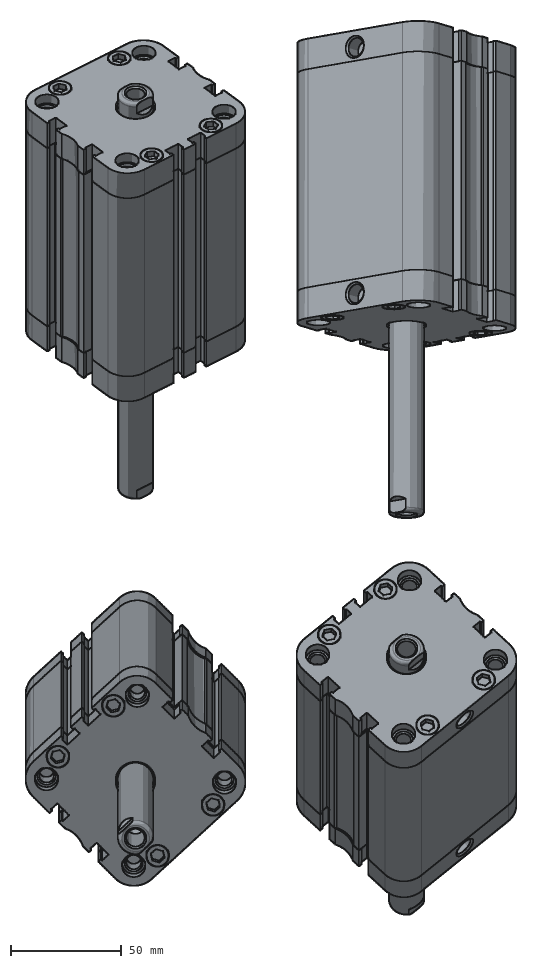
import cadquery as cq
import math

housing_side = 77.0
corner_radius = 11.7
housing_length = 129.4
cap_height = 14.2
bore_diameter = 63.0

slot_neck_width = 6.0
slot_inner_width = 7.6
slot_lip = 1.5
barrel_slot_depth = 5.0
cap_slot_depth = 5.6
side_slot_offset = 12.8
end_slot_offset = 6.5

groove_width = 11.5
cap_groove_depth = 1.4
barrel_groove_depth = 2.0
barrel_groove_bevel = 0.7

mount_offset = 28.4
mount_counterbore_diameter = 10.5
mount_counterbore_depth = 5.0
mount_thread_diameter = 8.3
mount_hole_diameter = 6.8

screw_x = 32.5
screw_y = 17.3
screw_recess_diameter = 10.4
screw_head_diameter = 10.0
screw_recess_depth = 2.0
socket_across_flats = 5.6
socket_depth = 3.0

port_diameter = 8.5
port_mouth_diameter = 10.4
port_depth = 8.0
port_drop = 7.6

rod_diameter = 16.0
rod_length = 225.0
rod_top_overhang = 7.9
rod_flat_gap = 13.0
rod_flat_length = 5.6
rod_thread_diameter = 8.3
rod_thread_mouth_diameter = 10.0
rod_thread_depth = 20.2
drill_point_angle = 118.0
rod_end_fillet = 1.8

rod_recess_diameter = 16.6
rod_recess_mouth_diameter = 18.0
rod_recess_depth = 2.0

half_side = housing_side / 2
barrel_length = housing_length - 2 * cap_height


def slot_cutter(length, inner_width, inner_shift, depth):
    """T-slot opening through the face y = -half_side, with its neck centred on x = 0."""
    neck = cq.Workplane("XY").box(slot_neck_width, 2 * depth, length, centered=(True, True, False))
    inner_depth = depth - slot_lip
    inner = (
        cq.Workplane("XY")
        .center(inner_shift, slot_lip + inner_depth / 2)
        .rect(inner_width, inner_depth)
        .extrude(length)
    )
    return neck.union(inner).translate((0, -half_side, 0))


def groove_cutter(length, depth):
    """Round groove of the given depth in the middle of the face y = -half_side."""
    return (
        cq.Workplane("XY")
        .moveTo(-groove_width / 2, -half_side)
        .threePointArc((0, depth - half_side), (groove_width / 2, -half_side))
        .close()
        .extrude(length)
    )


def beveled_groove_cutter(length, depth, bevel):
    """The same groove sunk by the bevel height, with 45 degree bevels out to y = -half_side."""
    return (
        cq.Workplane("XY")
        .moveTo(-groove_width / 2 - bevel, -half_side)
        .lineTo(-groove_width / 2, bevel - half_side)
        .threePointArc((0, depth - half_side), (groove_width / 2, bevel - half_side))
        .lineTo(groove_width / 2 + bevel, -half_side)
        .close()
        .extrude(length)
    )


def profile_block(length, slot_width, slot_shift, slot_depth, groove):
    """Rounded square block with all slots and grooves, standing on z = 0.

    slot_shift moves the wide part of each -Y and +Y slot away from the centre plane.
    """
    block = (
        cq.Workplane("XY")
        .rect(housing_side, housing_side)
        .extrude(length)
        .edges("|Z")
        .fillet(corner_radius)
    )
    right_slot = slot_cutter(length, slot_width, slot_shift, slot_depth)
    right_slot = right_slot.translate((side_slot_offset, 0, 0))
    front_cutters = right_slot.union(right_slot.mirror("YZ")).union(groove)
    block = block.cut(front_cutters).cut(front_cutters.mirror("XZ"))

    end_slot = slot_cutter(length, slot_inner_width, 0, barrel_slot_depth)
    for offset in (-end_slot_offset, end_slot_offset):
        block = block.cut(end_slot.translate((offset, 0, 0)).rotate((0, 0, 0), (0, 0, 1), 90))
    return block


def make_barrel():
    """Middle of the housing with the cylinder bore; its slots widen on their outer side only."""
    one_sided_width = (slot_inner_width + slot_neck_width) / 2
    one_sided_shift = (slot_inner_width - slot_neck_width) / 4
    groove = beveled_groove_cutter(barrel_length, barrel_groove_depth, barrel_groove_bevel)
    block = profile_block(
        barrel_length, one_sided_width, one_sided_shift, barrel_slot_depth, groove
    )
    bore = cq.Workplane("XY").circle(bore_diameter / 2).extrude(barrel_length)
    return block.cut(bore).translate((0, 0, cap_height))


def cut_rod_hole(cap):
    """Hole that fits the rod, opening into a recess with a beveled mouth in the outer face."""
    bevel = (rod_recess_mouth_diameter - rod_recess_diameter) / 2
    floor = cap_height - rod_recess_depth
    hole = (
        cq.Workplane("XZ")
        .polyline([
            (0, 0),
            (rod_diameter / 2, 0),
            (rod_diameter / 2, floor),
            (rod_recess_diameter / 2, floor),
            (rod_recess_diameter / 2, cap_height - bevel),
            (rod_recess_mouth_diameter / 2, cap_height),
            (0, cap_height),
        ])
        .close()
        .revolve(360, (0, 0, 0), (0, 1, 0))
    )
    return cap.cut(hole)


def cut_mounting_holes(cap):
    """Through holes in the four corners, with a counterbore and a chamfer at its floor."""
    chamfer = (mount_thread_diameter - mount_hole_diameter) / 2
    floor = cap_height - mount_counterbore_depth
    hole = (
        cq.Workplane("XZ")
        .polyline([
            (0, 0),
            (mount_hole_diameter / 2, 0),
            (mount_hole_diameter / 2, floor - chamfer),
            (mount_thread_diameter / 2, floor),
            (mount_counterbore_diameter / 2, floor),
            (mount_counterbore_diameter / 2, cap_height),
            (0, cap_height),
        ])
        .close()
        .revolve(360, (0, 0, 0), (0, 1, 0))
    )
    for x in (-mount_offset, mount_offset):
        for y in (-mount_offset, mount_offset):
            cap = cap.cut(hole.translate((x, y, 0)))
    return cap


def cut_screw_details(cap):
    """Narrow ring round each screw head, and its hexagon socket."""
    socket_across_corners = socket_across_flats / math.cos(math.pi / 6)
    ring = (
        cq.Workplane("XY", origin=(0, 0, cap_height))
        .circle(screw_recess_diameter / 2)
        .circle(screw_head_diameter / 2)
        .extrude(-screw_recess_depth)
    )
    socket = (
        cq.Workplane("XY", origin=(0, 0, cap_height))
        .polygon(6, socket_across_corners)
        .extrude(-socket_depth)
    )
    for x, socket_turn in ((-screw_x, 90), (screw_x, 0)):
        turned_socket = socket.rotate((0, 0, 0), (0, 0, 1), socket_turn)
        for y in (-screw_y, screw_y):
            cap = cap.cut(ring.translate((x, y, 0))).cut(turned_socket.translate((x, y, 0)))
    return cap


def cut_port(cap):
    """Blind port with a chamfered mouth in the -X side."""
    chamfer = (port_mouth_diameter - port_diameter) / 2
    port = (
        cq.Workplane("XY")
        .polyline([
            (0, 0),
            (0, port_mouth_diameter / 2),
            (chamfer, port_diameter / 2),
            (port_depth, port_diameter / 2),
            (port_depth, 0),
        ])
        .close()
        .revolve(360, (0, 0, 0), (1, 0, 0))
    )
    return cap.cut(port.translate((-half_side, 0, cap_height - port_drop)))


def make_cap():
    """End cap with its inner face on z = 0 and its outer face up."""
    groove = groove_cutter(cap_height, cap_groove_depth)
    cap = profile_block(cap_height, slot_inner_width, 0, cap_slot_depth, groove)
    cap = cut_rod_hole(cap)
    cap = cut_mounting_holes(cap)
    cap = cut_screw_details(cap)
    return cut_port(cap)


def rod_end_cutter():
    """Material removed from a rod end that lies at z = 0 with the rod below it."""
    thread_radius = rod_thread_diameter / 2
    mouth_radius = rod_thread_mouth_diameter / 2
    drill_point = thread_radius / math.tan(math.radians(drill_point_angle / 2))
    threaded_hole = (
        cq.Workplane("XZ")
        .polyline([
            (0, 0),
            (mouth_radius, 0),
            (thread_radius, thread_radius - mouth_radius),
            (thread_radius, -rod_thread_depth),
            (0, -rod_thread_depth - drill_point),
        ])
        .close()
        .revolve(360, (0, 0, 0), (0, 1, 0))
    )
    flat_depth = (rod_diameter - rod_flat_gap) / 2
    flat = (
        cq.Workplane("XZ")
        .polyline([
            (rod_flat_gap / 2, 0),
            (rod_diameter / 2, 0),
            (rod_diameter / 2, -rod_flat_length - flat_depth),
            (rod_flat_gap / 2, -rod_flat_length),
        ])
        .close()
        .extrude(rod_diameter / 2, both=True)
    )
    return threaded_hole.union(flat).union(flat.mirror("YZ"))


def make_rod():
    """Through rod with the same flats, rounded edge and threaded hole at both ends."""
    rod = cq.Workplane("XY").circle(rod_diameter / 2).extrude(rod_length)
    rod = rod.edges("%CIRCLE").fillet(rod_end_fillet)
    end_cutter = rod_end_cutter()
    rod = rod.cut(end_cutter.translate((0, 0, rod_length))).cut(end_cutter.mirror("XY"))
    return rod.translate((0, 0, housing_length + rod_top_overhang - rod_length))


barrel = make_barrel()
cap = make_cap()
top_cap = cap.translate((0, 0, housing_length - cap_height))
bottom_cap = cap.mirror("XY").translate((0, 0, cap_height))
rod = make_rod()

result = cq.Compound.makeCompound([barrel.val(), top_cap.val(), bottom_cap.val(), rod.val()])